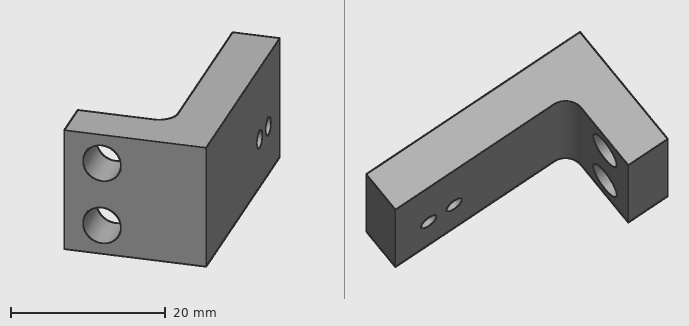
import cadquery as cq

width = 19.05
length = 34.3
height = 17.0
thickness = 6.35
inner_radius = 2.55

large_diameter = 5.07
large_from_side = 5.07
large_spacing = 8.88

small_diameter = 2.47
small_from_end = 5.35
small_spacing = 4.08
small_height = 6.85


def bracket_body():
    """L-shaped plate with its outer corner at +X, -Y and a rounded inner corner."""
    short_leg = cq.Workplane("XY").box(width, thickness, height, centered=False)
    long_leg = (
        cq.Workplane("XY")
        .box(thickness, length, height, centered=False)
        .translate((width - thickness, 0, 0))
    )
    inner_corner = cq.selectors.NearestToPointSelector((width - thickness, thickness, height / 2))
    return short_leg.union(long_leg).clean().edges("|Z").edges(inner_corner).fillet(inner_radius)


def large_holes():
    """Cylinders along Y, centred on the height of the short leg."""
    centers = [(large_from_side, height / 2 + side * large_spacing / 2) for side in (-1, 1)]
    return cq.Workplane("XZ").pushPoints(centers).circle(large_diameter / 2).extrude(-thickness)


def small_holes():
    """Cylinders along X near the free end of the long leg."""
    first_y = length - small_from_end
    centers = [(first_y - index * small_spacing, small_height) for index in range(2)]
    return (
        cq.Workplane("YZ", origin=(width - thickness, 0, 0))
        .pushPoints(centers)
        .circle(small_diameter / 2)
        .extrude(thickness)
    )


result = bracket_body().cut(large_holes()).cut(small_holes())